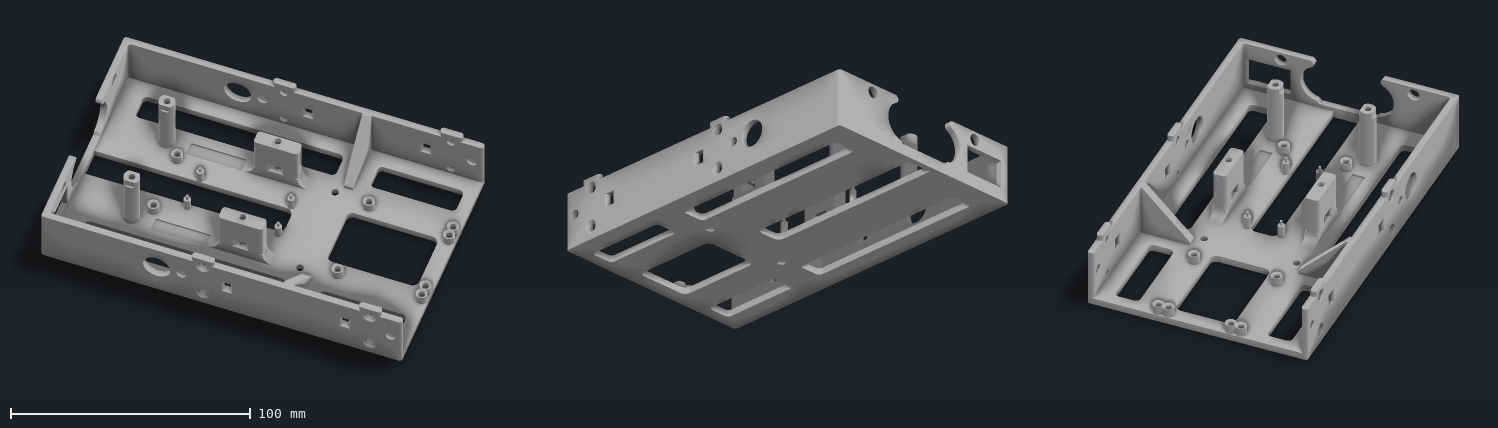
import cadquery as cq
import math

length = 160.5
width = 100.0
wall = 2.9
floor = 3.0
wall_top = 26.5
corner_radius = 1.3
half_width = width / 2
wall_inner_y = half_width - wall
wall_mid_y = half_width - wall / 2
axis_z = 15.1
through_floor = (-floor, 2 * floor)

side_slot_y = (28.9, 40.3)
side_slots_x = [(12.2, 101.6), (116.8, 155.0)]
side_slot_radius = 2.2
centre_slot_end = 91.6
centre_slot_half = 6.3
window_x = (113.2, 153.8)
window_half = 13.5
large_radius = 3.0
floor_hole_x = 104.5
floor_hole_diameter = 3.4

row_y = 21.0
pillar_x = 29.7
pillar_diameter = 7.0
pillar_top = 31.5
pillar_flat_width = 5.5
pillar_flat_height = 3.0
pillar_foot_radius = 1.0
screw_diameter = 3.0
pillar_hole_depth = 16.0

recess_x = (39.2, 64.0)
recess_width = 6.1
recess_depth = 0.8
recess_corner = 0.5

block_x = (69.2, 88.9)
block_top = 25.4
block_corner = 1.5
block_foot_radius = 5.0
block_hole_depth = 20.9
block_collar_diameter = 5.5
block_slot_width = 5.6
block_slot_z = (8.3, 13.0)

standoff_diameter = 5.0
standoff_top = 7.0
standoff_hole = 3.0
standoff_mouth = 4.2
standoff_mouth_depth = 0.6
standoff_inner_y = 14.1
standoff_outer_y = 18.8
standoff_end_x = 157.8
standoff_places = [
    (36.8, standoff_inner_y),
    (120.4, standoff_outer_y),
    (standoff_end_x, standoff_inner_y),
    (standoff_end_x, standoff_outer_y),
]
peg_xs = [49.5, 89.9]
peg_y = 7.7
peg_diameter = 3.0
peg_shoulder = 8.7
peg_tip_diameter = 1.2
peg_tip_top = 10.9

rib_x = (107.0, 111.0)
rib_toe_y = 24.5
rib_toe_z = 4.7

round_hole_x = 51.5
round_hole_diameter = 12.0
pin_hole_xs = [62.5, 155.5]
pin_hole_diameter = 4.2
tie_hole_xs = [82.7, 135.1]
tie_hole_height = 6.1
tie_hole_gap = 3.4
screw_xs = [71.9, 146.2]
screw_offset_z = 9.0
screw_hole_diameter = 3.4
screw_head_diameter = 6.0
screw_cone_depth = 1.3
tab_length = 10.0
tab_top = 29.2

end_hole_y = 30.2
end_hole_z = 22.6
end_hole_diameter = 5.5
port_y = (-45.7, -25.7)
port_z = (6.0, 18.6)
cutout_bottom = 5.0
cutout_bottom_half = 12.8
cutout_radius = 9.0
cutout_arc_y = 12.2
cutout_bottom_angle = -80.0
cutout_lip_radius = 1.8


def box(x, y, z):
    """Box between the limits given for each axis."""
    solid = cq.Workplane("XY").box(x[1] - x[0], y[1] - y[0], z[1] - z[0], centered=False)
    return solid.translate((x[0], y[0], z[0]))


def rod(x, y, z, diameter):
    """Upright cylinder between two heights."""
    return cq.Workplane("XY", origin=(x, y, z[0])).circle(diameter / 2).extrude(z[1] - z[0])


def cross_rod(x, z, diameter):
    """Cylinder along Y through both side walls."""
    return cq.Workplane("XZ", origin=(x, 0, z)).circle(diameter / 2).extrude(half_width, both=True)


def cone(plane, centre, start_diameter, end_diameter, depth):
    """Frustum that grows along the normal of the plane."""
    frustum = cq.Workplane(plane, origin=centre).circle(start_diameter / 2)
    return frustum.workplane(offset=depth).circle(end_diameter / 2).loft()


def mirrored(solid):
    """The solid together with its mirror image across the XZ plane."""
    return solid.union(solid.mirror("XZ"))


def tie_slot(x, y, z, gap, rounding):
    """Opening through Y that flares with convex rounds where it meets both faces."""
    reach = gap / 2 + rounding
    opening = box((x - reach, x + reach), y, z)
    for side in (-1, 1):
        cheek_x = sorted((x + side * gap / 2, x + side * (gap / 2 + 3 * rounding)))
        cheek = box(cheek_x, y, z).edges("|Z").fillet(rounding)
        opening = opening.cut(cheek)
    return opening


def shell():
    outside = box((0, length), (-half_width, half_width), (0, wall_top))
    outside = outside.edges("|Z").fillet(corner_radius)
    inside = box((wall, 2 * length), (-wall_inner_y, wall_inner_y), (floor, 2 * wall_top))
    inside = inside.edges("|Z and <X").fillet(corner_radius)
    tray = outside.cut(inside)
    inner_ends = cq.selectors.BoxSelector(
        (length - wall, -wall_inner_y - wall / 2, floor),
        (length + wall, wall_inner_y + wall / 2, wall_top),
    )
    return tray.edges("|Z").edges(inner_ends).fillet(corner_radius)


def floor_openings():
    window = box(window_x, (-window_half, window_half), through_floor)
    cuts = window.edges("|Z").fillet(large_radius)
    centre = box((wall, centre_slot_end), (-centre_slot_half, centre_slot_half), (-floor, floor))
    cuts = cuts.union(centre.edges("|Z and >X").fillet(large_radius))
    for slot_x in side_slots_x:
        slot = box(slot_x, side_slot_y, through_floor).edges("|Z").fillet(side_slot_radius)
        cuts = cuts.union(mirrored(slot))
    return cuts.union(mirrored(rod(floor_hole_x, row_y, through_floor, floor_hole_diameter)))


def recess():
    """Shallow pocket in the floor in front of the block."""
    y = (row_y - recess_width / 2, row_y + recess_width / 2)
    return box(recess_x, y, (floor - recess_depth, 2 * floor)).edges("|Z").fillet(recess_corner)


def pillar():
    """Round pillar with a flared foot, two flats at the top and a blind screw hole."""
    post = rod(pillar_x, row_y, (0, pillar_top), pillar_diameter)
    foot_top = floor + pillar_foot_radius
    foot = (
        cq.Workplane("XZ")
        .moveTo(0, floor)
        .lineTo(pillar_diameter / 2 + pillar_foot_radius, floor)
        .radiusArc((pillar_diameter / 2, foot_top), pillar_foot_radius)
        .lineTo(0, foot_top)
        .close()
        .revolve(360, (0, 0, 0), (0, 1, 0))
        .translate((pillar_x, row_y, 0))
    )
    flat_z = (pillar_top - pillar_flat_height, pillar_top)
    flat_x = (pillar_x - pillar_diameter, pillar_x + pillar_diameter)
    for side in (-1, 1):
        middle = row_y + side * (pillar_flat_width + pillar_diameter) / 2
        flat_y = (middle - pillar_diameter / 2, middle + pillar_diameter / 2)
        post = post.cut(box(flat_x, flat_y, flat_z))
    hole = rod(pillar_x, row_y, (pillar_top - pillar_hole_depth, pillar_top), screw_diameter)
    return post.union(foot).cut(hole)


def block():
    """Upright block with curved feet at both ends, a raised screw collar and a cross slot."""
    start, end = block_x
    y = (row_y - recess_width / 2, row_y + recess_width / 2)
    upright = box(block_x, y, (0, block_top)).edges("|Z").fillet(block_corner)
    foot_top = floor + block_foot_radius
    feet = (
        cq.Workplane("XZ", origin=(0, y[1], 0))
        .moveTo(start - block_foot_radius, floor)
        .radiusArc((start, foot_top), -block_foot_radius)
        .lineTo(start + block_corner, foot_top)
        .lineTo(start + block_corner, floor)
        .close()
        .moveTo(end + block_foot_radius, floor)
        .radiusArc((end, foot_top), block_foot_radius)
        .lineTo(end - block_corner, foot_top)
        .lineTo(end - block_corner, floor)
        .close()
        .extrude(recess_width)
    )
    plan_x = (start - block_foot_radius, end + block_foot_radius)
    plan = box(plan_x, y, (0, foot_top)).edges("|Z").fillet(block_corner)
    middle = (start + end) / 2
    collar = cone(
        "XY", (middle, row_y, block_top), block_collar_diameter, screw_diameter, wall_top - block_top
    )
    hole = rod(middle, row_y, (wall_top - block_hole_depth, wall_top), screw_diameter)
    slot = tie_slot(middle, y, block_slot_z, block_slot_width, block_corner)
    return upright.union(feet.intersect(plan)).union(collar).cut(hole).cut(slot)


def standoff(x, y):
    post = rod(x, y, (0, standoff_top), standoff_diameter)
    mouth_bottom = (x, y, standoff_top - standoff_mouth_depth)
    mouth = cone("XY", mouth_bottom, standoff_hole, standoff_mouth, standoff_mouth_depth)
    return post.cut(rod(x, y, (floor, standoff_top), standoff_hole)).cut(mouth)


def peg(x, y):
    post = rod(x, y, (0, peg_shoulder), peg_diameter)
    return post.union(rod(x, y, (0, peg_tip_top), peg_tip_diameter))


def rib():
    """Brace with a 45 degree upper face that stops level with the wall top."""
    crest_y = rib_toe_y + wall_top - rib_toe_z
    return (
        cq.Workplane("YZ", origin=(rib_x[0], 0, 0))
        .polyline([
            (rib_toe_y, floor / 2),
            (rib_toe_y, rib_toe_z),
            (crest_y, wall_top),
            (wall_mid_y, wall_top),
            (wall_mid_y, floor / 2),
        ])
        .close()
        .extrude(rib_x[1] - rib_x[0])
    )


def tab(x):
    """Raised stretch of the side wall with rounded ends."""
    tab_x = (x - tab_length / 2, x + tab_length / 2)
    return box(tab_x, (wall_inner_y, half_width), (axis_z, tab_top)).edges("|Z").fillet(corner_radius)


def side_wall_openings():
    cuts = cross_rod(round_hole_x, axis_z, round_hole_diameter)
    for x in pin_hole_xs:
        cuts = cuts.union(cross_rod(x, axis_z, pin_hole_diameter))
    wall_y = (wall_inner_y, half_width)
    tie_hole_z = (axis_z - tie_hole_height / 2, axis_z + tie_hole_height / 2)
    for x in tie_hole_xs:
        cuts = cuts.union(mirrored(tie_slot(x, wall_y, tie_hole_z, tie_hole_gap, corner_radius)))
    for x in screw_xs:
        for z in (axis_z - screw_offset_z, axis_z + screw_offset_z):
            cuts = cuts.union(cross_rod(x, z, screw_hole_diameter))
            head_bottom = (x, screw_cone_depth - half_width, z)
            head = cone("XZ", head_bottom, screw_hole_diameter, screw_head_diameter, screw_cone_depth)
            cuts = cuts.union(mirrored(head))
    return cuts


def end_wall_openings():
    cuts = box((-wall, 2 * wall), port_y, port_z)
    for y in (-end_hole_y, end_hole_y):
        hole = cq.Workplane("YZ", origin=(0, y, end_hole_z)).circle(end_hole_diameter / 2)
        cuts = cuts.union(hole.extrude(2 * wall))
    lip_z = wall_top - cutout_lip_radius
    centre_gap = cutout_radius + cutout_lip_radius
    lip_angle = math.asin((lip_z - axis_z) / centre_gap)
    lip_y = cutout_arc_y + centre_gap * math.cos(lip_angle)
    meet_y = cutout_arc_y + cutout_radius * math.cos(lip_angle)
    meet_z = axis_z + cutout_radius * math.sin(lip_angle)
    bottom_angle = math.radians(cutout_bottom_angle)
    arc_start_y = cutout_arc_y + cutout_radius * math.cos(bottom_angle)
    arc_start_z = axis_z + cutout_radius * math.sin(bottom_angle)
    half = (
        cq.Workplane("YZ")
        .moveTo(0, cutout_bottom)
        .lineTo(cutout_bottom_half, cutout_bottom)
        .lineTo(arc_start_y, arc_start_z)
        .threePointArc((cutout_arc_y + cutout_radius, axis_z), (meet_y, meet_z))
        .threePointArc((lip_y - cutout_lip_radius, lip_z), (lip_y, wall_top))
        .lineTo(0, wall_top)
        .close()
        .extrude(2 * wall)
    )
    return cuts.union(mirrored(half))


body = shell()
for screw_x in screw_xs:
    body = body.union(mirrored(tab(screw_x)))
body = body.union(mirrored(rib()))
body = body.cut(side_wall_openings()).cut(end_wall_openings())
body = body.cut(floor_openings()).cut(mirrored(recess()))
body = body.union(mirrored(pillar())).union(mirrored(block()))
for standoff_x, standoff_y in standoff_places:
    body = body.union(mirrored(standoff(standoff_x, standoff_y)))
for peg_x in peg_xs:
    body = body.union(mirrored(peg(peg_x, peg_y)))

result = body